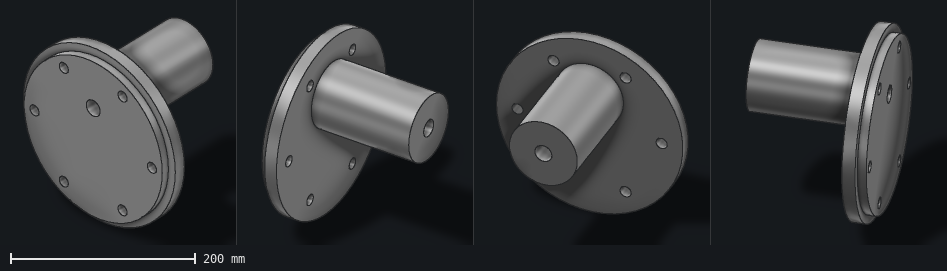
import cadquery as cq

spigot_diameter = 200.0
spigot_thickness = 10.0
flange_diameter = 220.0
flange_thickness = 15.0
shaft_diameter = 80.0
shaft_length = 125.0
shaft_offset = 40.0
bore_diameter = 20.0
bolt_hole_diameter = 13.0
bolt_circle_radius = 85.0
bolt_hole_count = 6

flange_front = spigot_thickness
flange_back = flange_front + flange_thickness
total_depth = flange_back + shaft_length


def cylinder_along_y(diameter, start, length, height=0.0):
    """Cylinder growing toward +Y from `start`, its axis at Z = `height`."""
    plane = cq.Workplane("XZ", origin=(0, start, height))
    return plane.circle(diameter / 2).extrude(-length)


def bolt_holes():
    """Ring of through holes for the spigot and flange, first one on the X axis."""
    return (
        cq.Workplane("XZ")
        .polarArray(bolt_circle_radius, 0, 360, bolt_hole_count)
        .circle(bolt_hole_diameter / 2)
        .extrude(-flange_back)
    )


spigot = cylinder_along_y(spigot_diameter, 0, spigot_thickness)
flange = cylinder_along_y(flange_diameter, flange_front, flange_thickness)
shaft = cylinder_along_y(shaft_diameter, flange_back, shaft_length, shaft_offset)
body = spigot.union(flange).union(shaft)

bore = cylinder_along_y(bore_diameter, 0, total_depth, shaft_offset)

result = body.cut(bore).cut(bolt_holes())